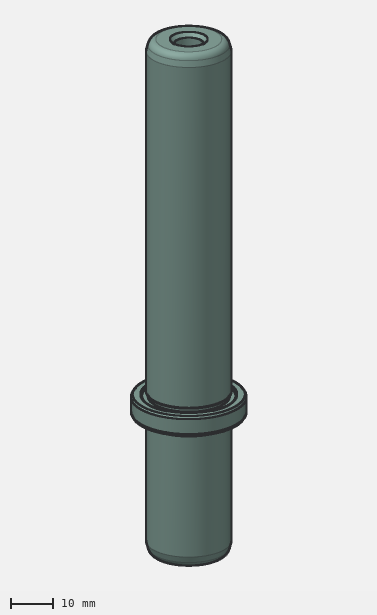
import cadquery as cq
import math

length = 130.0
shaft_radius = 10.0
collar_radius = 13.5
collar_bottom = 35.0
collar_top = 40.0
collar_chamfer_height = 0.6
collar_chamfer_width = 0.4

lead_length = 3.0
lead_angle = math.radians(15)
end_round = 2.0

neck_radius = 9.6
upper_neck_height = 0.4
lower_neck_height = 1.0
neck_chamfer = 0.4
face_groove_radius = 11.3
face_groove_floor_radius = 10.9
face_groove_depth = 0.4

hole_radius = 3.4
hole_mouth_radius = 4.4
hole_countersink = 1.0
hole_depth = 20.0
drill_half_angle = math.radians(59)


def revolve_profile(points):
    """Revolve a closed outline of (radius, height) points about the Z axis."""
    return cq.Workplane("XZ").polyline(points).close().revolve(360, (0, 0), (0, 1))


def shaft():
    """Full-length shaft with a tapered and rounded lead-in at each end."""
    round_height = end_round * (1 - math.sin(lead_angle))
    taper_radius = shaft_radius - (lead_length - round_height) * math.tan(lead_angle)
    centre_radius = taper_radius - end_round * math.cos(lead_angle)
    mid_angle = (lead_angle + math.pi / 2) / 2
    mid_radius = centre_radius + end_round * math.cos(mid_angle)
    mid_height = end_round * (1 - math.sin(mid_angle))
    return (
        cq.Workplane("XZ")
        .lineTo(centre_radius, 0)
        .threePointArc((mid_radius, mid_height), (taper_radius, round_height))
        .lineTo(shaft_radius, lead_length)
        .lineTo(shaft_radius, length - lead_length)
        .lineTo(taper_radius, length - round_height)
        .threePointArc((mid_radius, length - mid_height), (centre_radius, length))
        .lineTo(0, length)
        .close()
        .revolve(360, (0, 0), (0, 1))
    )


def collar():
    """Locating collar with chamfered rims."""
    rim_radius = collar_radius - collar_chamfer_width
    profile = [
        (0, collar_bottom),
        (rim_radius, collar_bottom),
        (collar_radius, collar_bottom + collar_chamfer_height),
        (collar_radius, collar_top - collar_chamfer_height),
        (rim_radius, collar_top),
        (0, collar_top),
    ]
    return revolve_profile(profile)


def relief(face, direction, neck_height):
    """Neck beside a collar face; direction is +1 above the collar, -1 below it."""
    neck_end = face + direction * neck_height
    profile = [
        (neck_radius, face),
        (neck_radius, neck_end),
        (shaft_radius, neck_end + direction * neck_chamfer),
        (shaft_radius, face),
    ]
    return revolve_profile(profile)


def face_groove():
    """Shallow ring with a sloped outer wall, sunk into the upper collar face."""
    floor = collar_top - face_groove_depth
    profile = [
        (neck_radius, floor),
        (face_groove_floor_radius, floor),
        (face_groove_radius, collar_top),
        (neck_radius, collar_top),
    ]
    return revolve_profile(profile)


def centre_hole():
    """Countersunk blind hole with a conical drill point."""
    floor = length - hole_depth
    profile = [
        (0, length),
        (hole_mouth_radius, length),
        (hole_radius, length - hole_countersink),
        (hole_radius, floor),
        (0, floor - hole_radius / math.tan(drill_half_angle)),
    ]
    return revolve_profile(profile)


result = (
    shaft()
    .union(collar())
    .cut(relief(collar_top, 1, upper_neck_height))
    .cut(relief(collar_bottom, -1, lower_neck_height))
    .cut(face_groove())
    .cut(centre_hole())
)